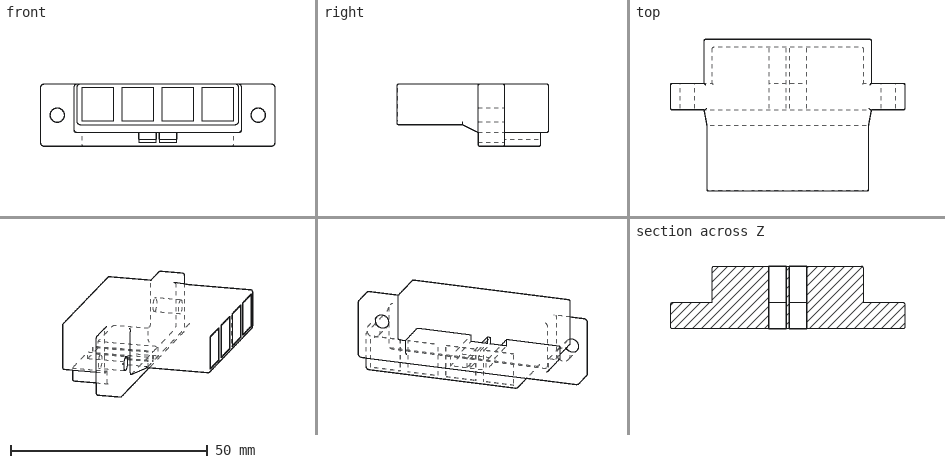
import cadquery as cq

total_width = 59.7
total_depth = 38.6
total_height = 15.9

flange_front = 20.65
flange_thickness = 6.75
flange_back = flange_front + flange_thickness
flange_middle = flange_front + flange_thickness / 2
flange_corner_radius = 1.0
screw_hole_diameter = 3.6
screw_hole_spacing = 51.1

rear_width = 42.6
rear_height = 12.35
front_width = 41.1
front_height = 10.4
taper_length = 4.0
taper_front = flange_front - taper_length
front_side_radius = 0.9

lower_inset = 2.0
lower_width = rear_width - 2 * lower_inset
lower_back = total_depth - lower_inset
rear_underside = total_height - rear_height

edge_radius = 0.5

recess_count = 4
recess_pitch = 10.15
recess_width = 8.05
recess_height = 8.55
recess_depth = 0.2

window_width = 4.35
window_rib = 0.85
window_pitch = window_width + window_rib
flange_sill = 1.0
lower_sill = 1.8


def block(width, y_front, y_back, z_bottom, z_top):
    """Box centred on X between the given Y and Z limits."""
    depth = y_back - y_front
    height = z_top - z_bottom
    start = cq.Workplane("XY", origin=(0, y_front, z_bottom))
    return start.box(width, depth, height, centered=(True, False, False))


def body_section(y, width, height):
    """Rounded rectangle wire in an XZ plane at the given Y, hung from the top of the part."""
    rectangle = cq.Face.makePlane(length=height, width=width)
    rounded = rectangle.fillet2D(front_side_radius, rectangle.Vertices())
    plane = cq.Plane(origin=(0, y, total_height - height / 2), xDir=(1, 0, 0), normal=(0, -1, 0))
    return rounded.outerWire().moved(plane.location)


def body_segment(back_section, front_section):
    """Straight-sided solid between two sections of the body."""
    return cq.Workplane(cq.Solid.makeLoft([back_section, front_section], True))


def make_flange():
    plate = block(total_width, flange_front, flange_back, 0, total_height)
    plate = plate.edges("|Y").fillet(flange_corner_radius)
    return plate.faces("<Y or >Y").edges().fillet(edge_radius)


def make_rear_body():
    body = block(rear_width, flange_middle, total_depth, rear_underside, total_height)
    return body.edges("|Y or >Y").fillet(edge_radius)


def make_lower_block():
    lower = block(lower_width, flange_middle, lower_back, 0, rear_underside + edge_radius)
    return lower.edges("(|Y and <Z) or (>Y and (not >Z))").fillet(edge_radius)


def make_front_body():
    root_section = body_section(flange_middle, rear_width, rear_height)
    wide_section = body_section(flange_front, rear_width, rear_height)
    narrow_section = body_section(taper_front, front_width, front_height)
    front_section = body_section(0, front_width, front_height)
    root = body_segment(root_section, wide_section)
    taper = body_segment(wide_section, narrow_section)
    straight = body_segment(narrow_section, front_section).faces("<Y").edges().fillet(edge_radius)
    return root.union(taper).union(straight)


def make_screw_holes():
    plane = cq.Workplane("XZ", origin=(0, flange_back, total_height / 2))
    centres = [(-screw_hole_spacing / 2, 0), (screw_hole_spacing / 2, 0)]
    return plane.pushPoints(centres).circle(screw_hole_diameter / 2).extrude(flange_thickness)


def make_recesses():
    plane = cq.Workplane("XZ", origin=(0, recess_depth, total_height - front_height / 2))
    grid = plane.rarray(recess_pitch, 0.6, recess_count, 1)
    return grid.rect(recess_width, recess_height).extrude(recess_depth)


def make_windows():
    """Two openings side by side, with a higher sill behind the flange."""
    flange_part = block(window_width, flange_front, flange_back, flange_sill, rear_underside)
    lower_part = block(window_width, flange_back, lower_back, lower_sill, rear_underside)
    window = flange_part.union(lower_part)
    left = window.translate((-window_pitch / 2, 0, 0))
    right = window.translate((window_pitch / 2, 0, 0))
    return left.union(right)


result = (
    make_flange()
    .union(make_rear_body())
    .union(make_lower_block())
    .union(make_front_body())
    .cut(make_screw_holes())
    .cut(make_recesses())
    .cut(make_windows())
)